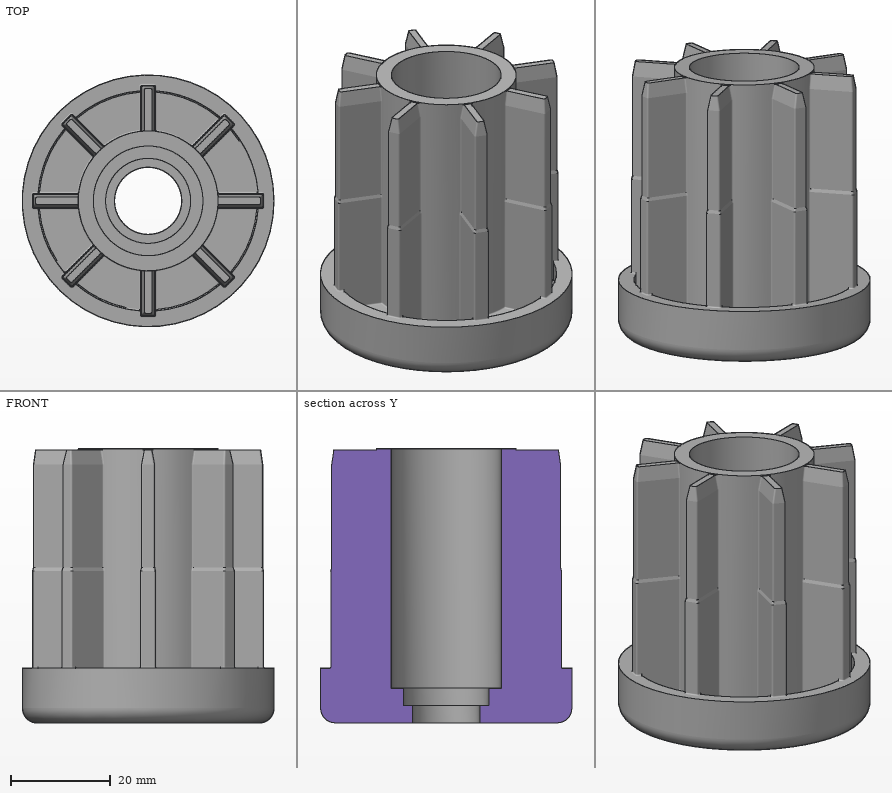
import cadquery as cq
import math

total_height = 55.0
flange_radius = 25.25
flange_height = 11.0
bottom_fillet = 2.95

recess_radius = 22.1
recess_floor = 7.0
tube_radius = 14.0
small_fillet = 0.3

tolerance = 0.005

clearance = 0.3

bore_radius = 11.0
bore_floor = recess_floor
seat_radius = 8.5
seat_floor = 3.5
hole_radius = 6.7

rib_count = 8
rib_root_radius = 12.1
rib_corner_radius = 0.35
rib_sections = [
    (recess_floor, 3.0, 23.15),
    (30.45, 3.0, 23.15),
    (31.15, 2.65, 23.0),
    (51.75, 2.65, 23.0),
    (54.8, 1.5, 22.55),
]


def cylinder(radius, bottom, top):
    return cq.Workplane("XY").workplane(offset=bottom).circle(radius).extrude(top - bottom)


def rib_outline(height, thickness, reach):
    """Closed wire of one rib along +X, rounded at its outer corners."""
    half = thickness / 2
    corner_x = reach - rib_corner_radius
    corner_y = half - rib_corner_radius
    corner_offset = rib_corner_radius * math.sqrt(0.5)
    corner_mid_x = corner_x + corner_offset
    corner_mid_y = corner_y + corner_offset
    outline = (
        cq.Workplane("XY")
        .workplane(offset=height)
        .moveTo(rib_root_radius, -half)
        .lineTo(corner_x, -half)
        .threePointArc((corner_mid_x, -corner_mid_y), (reach, -corner_y))
        .lineTo(reach, corner_y)
        .threePointArc((corner_mid_x, corner_mid_y), (corner_x, half))
        .lineTo(rib_root_radius, half)
        .close()
    )
    return outline.val()


def make_rib():
    outlines = [rib_outline(*section) for section in rib_sections]
    return cq.Workplane(cq.Solid.makeLoft(outlines, True))


def make_ribs():
    rib = make_rib()
    ribs = rib
    for index in range(1, rib_count):
        ribs = ribs.union(rib.rotate((0, 0, 0), (0, 0, 1), index * 360 / rib_count))
    return ribs


def is_rib_root(edge):
    """True for a rising edge where a rib side meets the tube wall."""
    ends = (edge.startPoint(), edge.endPoint())
    on_tube = all(math.isclose(math.hypot(end.x, end.y), tube_radius, abs_tol=tolerance) for end in ends)
    rises = abs(ends[1].z - ends[0].z) > tolerance
    return on_tube and rises


def make_core():
    """Solid tube with its ribs, filleted where they join."""
    core = cylinder(tube_radius, recess_floor, total_height).union(make_ribs())
    return core.edges().filter(is_rib_root).fillet(small_fillet)


def make_pockets(core):
    """Recess pockets left between the tube and the ribs, with rounded floor edges."""
    recess = cylinder(recess_radius, recess_floor, flange_height + small_fillet + clearance)
    return recess.cut(core).faces("<Z").edges().fillet(small_fillet)


def rib_foot_edges():
    """Selector for the edges where the ribs and the tube stand on the flange."""
    reach = (flange_radius + rib_sections[0][2]) / 2
    return cq.selectors.BoxSelector(
        (-reach, -reach, flange_height - tolerance),
        (reach, reach, flange_height + tolerance),
        boundingbox=True,
    )


core = make_core()
body = cylinder(flange_radius, 0, flange_height).faces("<Z").edges().fillet(bottom_fillet)
body = body.union(core).edges(rib_foot_edges()).fillet(small_fillet)
body = body.cut(make_pockets(core))

bore = cylinder(bore_radius, bore_floor, total_height)
seat = cylinder(seat_radius, seat_floor, bore_floor)
hole = cylinder(hole_radius, 0, seat_floor)
result = body.cut(bore).cut(seat).cut(hole)